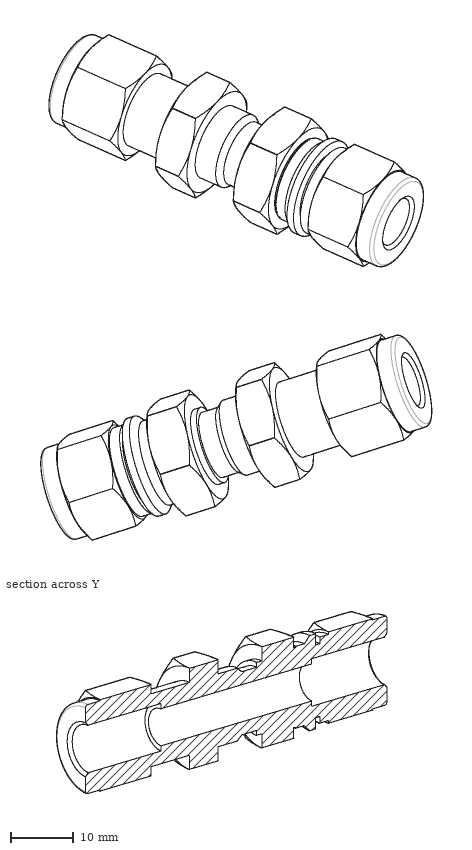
import cadquery as cq
import math

total_length = 62.15

body_diameter = 12.7
body_neck_diameter = 11.0
body_shoulder_start = 31.25
body_shoulder_end = 32.25

large_hex_flats = 17.5
locknut_start = 21.4
locknut_end = 27.35
bulkhead_start = 36.3
bulkhead_end = 42.95
bulkhead_collar_start = 35.25
corner_rounding_diameter = 20.2

small_hex_flats = 15.85
nut_sleeve_diameter = 15.5
sleeve_edge_radius = 0.5
left_hex_start = 3.0
left_hex_end = 13.55
right_hex_start = 50.0
right_hex_end = 59.1
right_collar_start = 48.2
right_collar_diameter = 15.0

ring_diameter = 16.5
ring_hub_diameter = 14.2
ring_hub_start = 43.25
ring_seat_diameter = 13.85
flare_start = 45.05
flare_end = 46.2
ring_end = 47.4

bore_diameter = 6.35
socket_diameter = 8.15
mouth_diameter = 9.3
mouth_depth = 0.55
socket_depth = 15.55

hex_chamfer_angle = math.radians(30)


def revolve_profile(points):
    """Revolve (x, radius) points, closed along the X axis, into a solid."""
    outline = [(points[0][0], 0)] + points + [(points[-1][0], 0)]
    return cq.Workplane("XY").polyline(outline).close().revolve(360, (0, 0, 0), (1, 0, 0))


def cylinder(start, end, diameter):
    return revolve_profile([(start, diameter / 2), (end, diameter / 2)])


def hex_section(start, end, flats, corner_diameter=math.inf):
    """Hexagon with corners along Y and conically chamfered ends."""
    corners = flats / math.cos(math.pi / 6)
    prism = cq.Workplane("YZ").workplane(offset=start).polygon(6, corners).extrude(end - start)
    outer_radius = min(corner_diameter, corners) / 2
    face_radius = flats / 2
    chamfer_length = (outer_radius - face_radius) * math.tan(hex_chamfer_angle)
    envelope = revolve_profile([
        (start, face_radius),
        (start + chamfer_length, outer_radius),
        (end - chamfer_length, outer_radius),
        (end, face_radius),
    ])
    return prism.intersect(envelope)


def nut_sleeve(hex_side, face):
    """Round end of a compression nut with a rounded edge at its outer face."""
    outer_face = "<X" if face < hex_side else ">X"
    sleeve = cylinder(hex_side, face, nut_sleeve_diameter)
    return sleeve.faces(outer_face).edges().fillet(sleeve_edge_radius)


def tube_socket(face, inward):
    """Cutter for a tube socket with a countersunk mouth."""
    return revolve_profile([
        (face, mouth_diameter / 2),
        (face + inward * mouth_depth, socket_diameter / 2),
        (face + inward * socket_depth, socket_diameter / 2),
    ])


body = revolve_profile([
    (left_hex_start, body_diameter / 2),
    (body_shoulder_start, body_diameter / 2),
    (body_shoulder_end, body_neck_diameter / 2),
    (right_hex_start, body_neck_diameter / 2),
])
flared_ring = revolve_profile([
    (ring_hub_start, ring_hub_diameter / 2),
    (flare_start, ring_hub_diameter / 2),
    (flare_end, ring_diameter / 2),
    (ring_end, ring_diameter / 2),
])

outer_sections = [
    nut_sleeve(left_hex_start, 0),
    hex_section(left_hex_start, left_hex_end, small_hex_flats),
    hex_section(locknut_start, locknut_end, large_hex_flats, corner_rounding_diameter),
    cylinder(bulkhead_collar_start, right_collar_start, body_diameter),
    hex_section(bulkhead_start, bulkhead_end, large_hex_flats, corner_rounding_diameter),
    cylinder(bulkhead_end, ring_hub_start, ring_seat_diameter),
    flared_ring,
    cylinder(right_collar_start, right_hex_start, right_collar_diameter),
    hex_section(right_hex_start, right_hex_end, small_hex_flats),
    nut_sleeve(right_hex_end, total_length),
]
fitting = body
for section in outer_sections:
    fitting = fitting.union(section)

result = (
    fitting
    .cut(cylinder(0, total_length, bore_diameter))
    .cut(tube_socket(0, 1))
    .cut(tube_socket(total_length, -1))
)